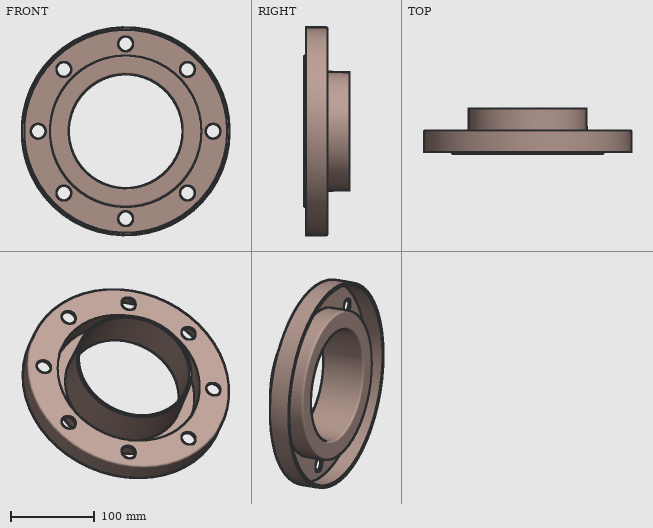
import cadquery as cq
total_length = 55.0
wall = 3.0
front_wall = 2.0
bend_radius = 2.5

flange_diameter = 250.0
flange_front = 2.5
flange_back = 28.5
web_front = flange_back - wall

boss_diameter = 182.0
sleeve_root_diameter = 144.4
sleeve_end_diameter = 142.0
bore_diameter = 136.5

bolt_count = 8
bolt_circle_diameter = 210.0
bolt_hole_diameter = 17.5


def cylinder(diameter, start, end):
    """Solid cylinder along +Y between two axial positions."""
    start_plane = cq.Plane(origin=(0, start, 0), xDir=(1, 0, 0), normal=(0, 1, 0))
    return cq.Workplane(start_plane).circle(diameter / 2).extrude(end - start)


def make_flange():
    """Flange disc with a rounded back edge, hollowed from the front to leave the rim and web."""
    disc = cylinder(flange_diameter, flange_front, flange_back)
    disc = disc.faces(">Y").edges().fillet(bend_radius)
    recess_diameter = flange_diameter - 2 * wall
    return disc.cut(cylinder(recess_diameter, flange_front, web_front))


def make_boss():
    """Solid boss with a rounded front edge, reaching back to the rear of the web."""
    boss = cylinder(boss_diameter, 0, flange_back)
    return boss.faces("<Y").edges().fillet(bend_radius)


def boss_cavity():
    """Space behind the front wall of the boss, open to the rear."""
    return cylinder(boss_diameter - 2 * wall, front_wall, flange_back)


def make_sleeve():
    """Rearward sleeve that tapers slightly from the front wall to its free end."""
    sleeve = cq.Solid.makeCone(
        sleeve_root_diameter / 2,
        sleeve_end_diameter / 2,
        total_length - front_wall,
        cq.Vector(0, front_wall, 0),
        cq.Vector(0, 1, 0),
    )
    return cq.Workplane(sleeve)


def cut_bore(body):
    """Through bore with a rounded front mouth."""
    bored = body.cut(cylinder(bore_diameter, 0, total_length))
    mouth_edge = bored.faces("<Y").edges(cq.selectors.RadiusNthSelector(0))
    return mouth_edge.fillet(bend_radius)


def cut_bolt_holes(body):
    """Ring of holes through the web, the first one on the +X axis."""
    first_hole = cylinder(bolt_hole_diameter, web_front, flange_back)
    first_hole = first_hole.translate((bolt_circle_diameter / 2, 0, 0))
    for index in range(bolt_count):
        angle = index * 360 / bolt_count
        body = body.cut(first_hole.rotate((0, 0, 0), (0, 1, 0), angle))
    return body


shell = make_flange().union(make_boss()).cut(boss_cavity()).union(make_sleeve())
result = cut_bolt_holes(cut_bore(shell))